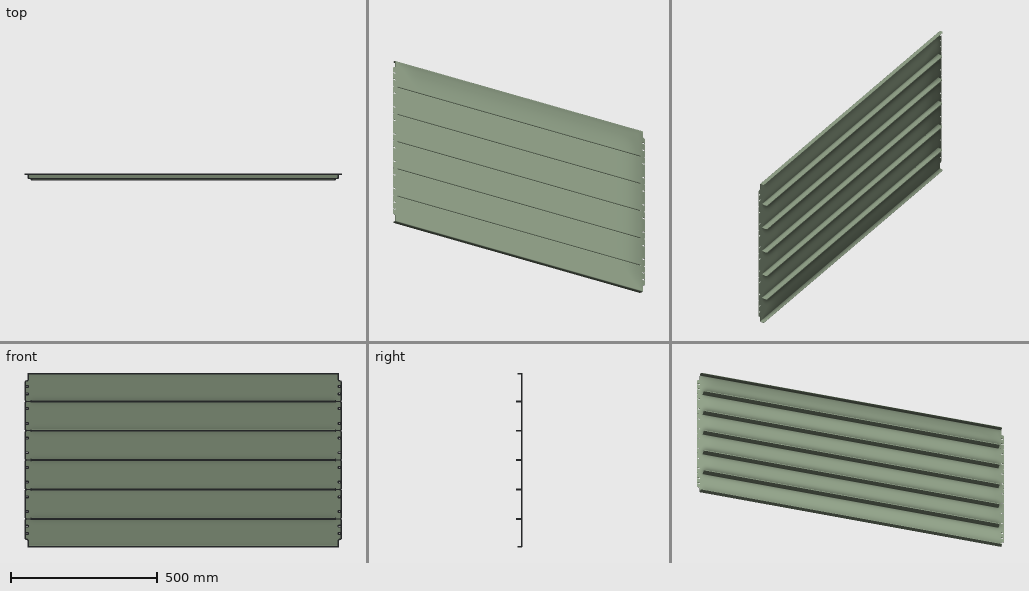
import cadquery as cq

WALL_LENGTH = 1076.5
WALL_HEIGHT = 590.0
WALL_DEPTH = 20.0
PANEL_COUNT = 6
JOINT_PITCH = 100.0

SHEET = 1.5
BEND_INNER_RADIUS = 1.5
BEND_OUTER_RADIUS = BEND_INNER_RADIUS + SHEET

JOINT_FLANGE_INSET = 20.0
JOINT_FLANGE_DEPTH = WALL_DEPTH
OUTER_FLANGE_INSET = 10.0
OUTER_FLANGE_DEPTH = 15.0
FLANGE_TIP_RADIUS = 5.0

PLATE_CORNER_RADIUS = 6.0
CORNER_NOTCH_HEIGHT = 25.0
CORNER_NOTCH_RADIUS = 3.9

SLOT_LENGTH = 10.0
SLOT_HEIGHT = 5.0
SLOT_END_DISTANCE = 6.5
SLOT_JOINT_DISTANCE = 25.0
OUTER_SLOT_JOINT_DISTANCE = 50.0

BACK_Y = WALL_DEPTH / 2
FRONT_Y = BACK_Y - SHEET
END_X = WALL_LENGTH / 2
TOP_Z = WALL_HEIGHT / 2
JOINTS = [JOINT_PITCH * (i - PANEL_COUNT / 2) for i in range(1, PANEL_COUNT)]
PANEL_EDGES = [-TOP_Z, *JOINTS, TOP_Z]


def is_outer(edge_z):
    """True for the wall's own top and bottom edges, False for a joint."""
    return abs(edge_z) == TOP_Z


def plate_block(x_min, x_max, z_a, z_b):
    """Block as thick as the sheet, in the plane of the plates; the Z limits come in any order."""
    size_x = x_max - x_min
    size_z = abs(z_b - z_a)
    centre = ((x_min + x_max) / 2, BACK_Y - SHEET / 2, (z_a + z_b) / 2)
    return cq.Workplane("XY").box(size_x, SHEET, size_z).translate(centre)


def notch_corners(plate, edge_z, inward):
    """Cut away both plate corners at an outer edge and round the notches' inner corners."""
    notch_x = END_X - OUTER_FLANGE_INSET
    notch_z = edge_z + inward * CORNER_NOTCH_HEIGHT
    for x_min, x_max, corner_x in ((-END_X, -notch_x, -notch_x), (notch_x, END_X, notch_x)):
        plate = plate.cut(plate_block(x_min, x_max, edge_z, notch_z))
        inner_corner = cq.selectors.NearestToPointSelector((corner_x, BACK_Y - SHEET / 2, notch_z))
        plate = plate.edges("|Y").edges(inner_corner).fillet(CORNER_NOTCH_RADIUS)
    return plate


def bent_flange(half_length, depth, edge_z, inward):
    """Bend and flange turned forward at edge_z; inward (+1 or -1) points to the panel's middle."""
    bend_z = edge_z + inward * BEND_OUTER_RADIUS
    bend_y = BACK_Y - BEND_OUTER_RADIUS
    inner_z = edge_z + inward * SHEET
    tip_y = BACK_Y - depth
    flange = (
        cq.Workplane("YZ")
        .moveTo(FRONT_Y, bend_z)
        .lineTo(BACK_Y, bend_z)
        .radiusArc((bend_y, edge_z), inward * BEND_OUTER_RADIUS)
        .lineTo(tip_y, edge_z)
        .lineTo(tip_y, inner_z)
        .lineTo(bend_y, inner_z)
        .radiusArc((FRONT_Y, bend_z), -inward * BEND_INNER_RADIUS)
        .close()
        .extrude(half_length, both=True)
    )
    return flange.faces("<Y").edges("|Z").fillet(FLANGE_TIP_RADIUS)


def slot_cutters(heights):
    """Cutters for the slots at both ends of a panel, at the given Z heights."""
    slot_x = END_X - SLOT_END_DISTANCE
    return (
        cq.Workplane("XZ", origin=(0, BACK_Y, 0))
        .pushPoints([(x, z) for x in (-slot_x, slot_x) for z in heights])
        .slot2D(SLOT_LENGTH, SLOT_HEIGHT)
        .extrude(SHEET)
    )


def panel(bottom_z, top_z):
    """One panel between two heights: plate, slots, and a flange along each long edge."""
    edges = ((bottom_z, top_z, 1), (top_z, bottom_z, -1))
    plate = plate_block(-END_X, END_X, bottom_z, top_z)
    slot_heights = []
    for edge_z, opposite_z, inward in edges:
        if is_outer(edge_z):
            plate = notch_corners(plate, edge_z, inward)
            slot_heights.append(opposite_z - inward * OUTER_SLOT_JOINT_DISTANCE)
        else:
            slot_heights.append(edge_z + inward * SLOT_JOINT_DISTANCE)
    plate = plate.faces("<X or >X").edges("|Y").fillet(PLATE_CORNER_RADIUS)
    plate = plate.cut(slot_cutters(slot_heights))

    for edge_z, _, inward in edges:
        inset = OUTER_FLANGE_INSET if is_outer(edge_z) else JOINT_FLANGE_INSET
        depth = OUTER_FLANGE_DEPTH if is_outer(edge_z) else JOINT_FLANGE_DEPTH
        half_length = END_X - inset
        bend_z = edge_z + inward * BEND_OUTER_RADIUS
        plate = plate.cut(plate_block(-half_length, half_length, edge_z, bend_z))
        plate = plate.union(bent_flange(half_length, depth, edge_z, inward))
    return plate


panels = [panel(bottom_z, top_z) for bottom_z, top_z in zip(PANEL_EDGES, PANEL_EDGES[1:])]
result = cq.Compound.makeCompound([body.solids().val() for body in panels])